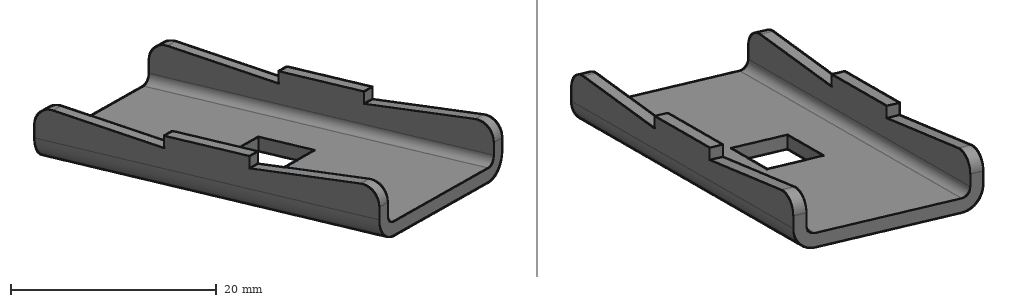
import cadquery as cq
import math

length = 40.0
width = 21.95
height = 5.95

thickness = 1.5
inner_bend_radius = 1.0
outer_bend_radius = inner_bend_radius + thickness

tab_width = 9.9
tab_foot_height = 4.7
slope_end_height = 6.05
corner_radius = 2.0

hole_side = 6.5


def channel():
    """U-shaped bent sheet running along X, with its underside at Z = 0."""
    outer = (
        cq.Workplane("XY")
        .box(length, width, height, centered=(True, True, False))
        .edges("|X and <Z")
        .fillet(outer_bend_radius)
    )
    cavity = (
        cq.Workplane("XY")
        .workplane(offset=thickness)
        .box(length, width - 2 * thickness, height, centered=(True, True, False))
        .edges("|X and <Z")
        .fillet(inner_bend_radius)
    )
    return outer.cut(cavity)


def wall_outline():
    """Side-wall profile, extruded across the width: central tab, slopes and rounded ends."""
    half_length = length / 2
    half_tab = tab_width / 2
    slope_angle = math.atan2(slope_end_height - tab_foot_height, half_length - half_tab)
    tangent_length = corner_radius * math.tan((math.pi / 2 + slope_angle) / 2)
    arc_center_x = half_length - corner_radius
    arc_center_z = slope_end_height - tangent_length
    slope_end = (
        half_length - tangent_length * math.cos(slope_angle),
        slope_end_height - tangent_length * math.sin(slope_angle),
    )
    middle_angle = (math.pi / 2 + slope_angle) / 2
    arc_middle = (
        arc_center_x + corner_radius * math.cos(middle_angle),
        arc_center_z + corner_radius * math.sin(middle_angle),
    )
    half = (
        cq.Workplane("XZ")
        .moveTo(0, 0)
        .lineTo(half_length, 0)
        .lineTo(half_length, arc_center_z)
        .threePointArc(arc_middle, slope_end)
        .lineTo(half_tab, tab_foot_height)
        .lineTo(half_tab, height)
        .lineTo(0, height)
        .close()
        .extrude(width / 2, both=True)
    )
    return half.union(half.mirror("YZ"))


square_hole = cq.Workplane("XY").box(hole_side, hole_side, 2 * thickness)

result = channel().intersect(wall_outline()).cut(square_hole)